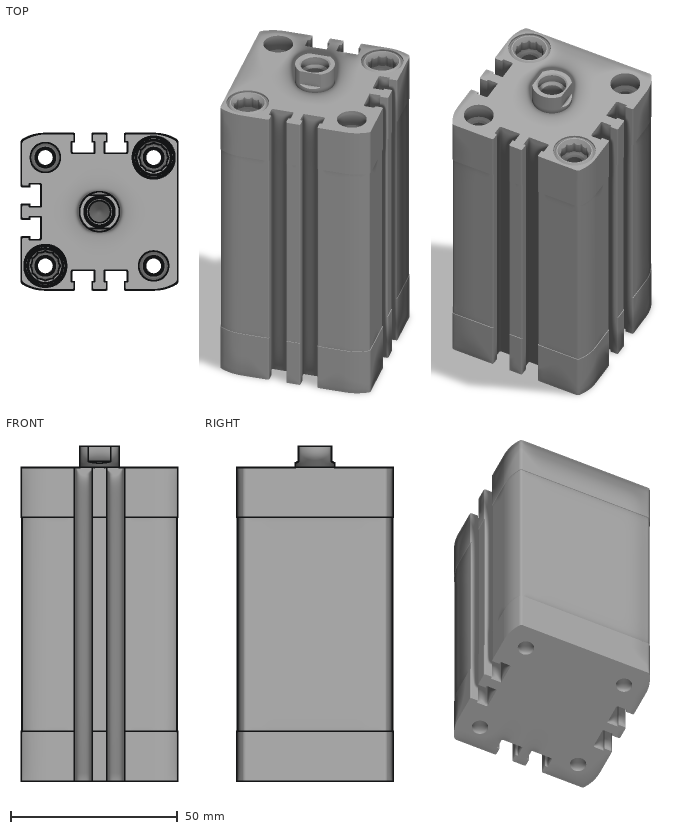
import cadquery as cq
import math

SIDE = 47.0
HALF = SIDE / 2
TOTAL_HEIGHT = 100.6
HOUSING_HEIGHT = 94.2
CAP_HEIGHT = 15.0
BARREL_INSET = 0.2
CORNER_RADIUS = 13.0
CORNER_START = 7.2
EDGE_RADIUS = 1.1

WEB_NECK_HALF = 1.5
WEB_HEAD_HALF = 2.2
SLOT_MOUTH_HALF = 7.5
SLOT_POCKET_HALF = 8.3
SLOT_DEPTH = 5.9
LIP_DEPTH = 2.5
LIP_RADIUS = 0.4
POCKET_RADIUS = 0.5
CUT_CLEARANCE = 1.0

HOLE_PITCH = 32.5
HOLE_DIAMETER = 4.9
HOLE_CHAMFER_DIAMETER = 6.0
COUNTERBORE_DIAMETER = 9.0
COUNTERBORE_DEPTH = 5.0

RING_DIAMETER = 12.8
RING_DEPTH = 0.6
COLLAR_DIAMETER = 11.9
COLLAR_TOP_DIAMETER = 10.8
MOUTH_CONE_DIAMETER = 10.2
MOUTH_HALF_ANGLE = 30.0
SOCKET_DEPTH = 4.5
SOCKET_DIAMETER = 8.3
STAR_DIAMETER = 9.0
STAR_PITCH = 30.0

ROD_DIAMETER = 12.0
ROD_FLATS = 10.0
ROD_FLAT_HEIGHT = 4.6
ROD_LEDGE_DROP = 0.5
ROD_BURIED = 15.1
MOUTH_DIAMETER = 9.3
BORE_DIAMETER = 8.5
BORE_DEPTH = 3.0
THREAD_DIAMETER = 6.6
THREAD_DEPTH = 12.1
THREAD_CHAMFER_DIAMETER = 8.0
DRILL_POINT_ANGLE = 118.0


def disc(diameter, bottom, top):
    """Vertical cylinder between two heights."""
    return cq.Workplane("XY").workplane(offset=bottom).circle(diameter / 2).extrude(top - bottom)


def cone(bottom_diameter, top_diameter, bottom, top):
    """Vertical cone frustum between two heights."""
    return cq.Workplane(
        cq.Solid.makeCone(bottom_diameter / 2, top_diameter / 2, top - bottom, cq.Vector(0, 0, bottom))
    )


def housing_block(half, bottom, top):
    """Square block with large arcs at the corners and small roundings at their ends."""
    inset = HALF - half
    arc_radius = CORNER_RADIUS - inset
    arc_x = HALF - CORNER_START
    centre_y = HALF - CORNER_RADIUS

    def arc_y(x):
        return centre_y + math.sqrt(arc_radius**2 - (x - arc_x) ** 2)

    end_y = arc_y(half)
    mid_x = (arc_x + half) / 2
    mid_y = arc_y(mid_x)
    return (
        cq.Workplane("XY")
        .workplane(offset=bottom)
        .moveTo(-arc_x, half)
        .lineTo(arc_x, half)
        .threePointArc((mid_x, mid_y), (half, end_y))
        .lineTo(half, -end_y)
        .threePointArc((mid_x, -mid_y), (arc_x, -half))
        .lineTo(-arc_x, -half)
        .threePointArc((-mid_x, -mid_y), (-half, -end_y))
        .lineTo(-half, end_y)
        .threePointArc((-mid_x, mid_y), (-arc_x, half))
        .close()
        .extrude(top - bottom)
        .edges("|Z and (<X or >X)")
        .fillet(EDGE_RADIUS - inset)
    )


def slot_pair(half, bottom, top):
    """Cutter for the two slots of the +Y face of a block."""
    floor_y = HALF - SLOT_DEPTH
    lip_y = HALF - LIP_DEPTH
    edge_y = half - LIP_RADIUS
    outside_y = half + CUT_CLEARANCE
    web_x = WEB_HEAD_HALF - LIP_RADIUS
    lip_x = SLOT_MOUTH_HALF + LIP_RADIUS
    slot = (
        cq.Workplane("XY")
        .workplane(offset=bottom)
        .moveTo(WEB_NECK_HALF, floor_y)
        .lineTo(SLOT_POCKET_HALF - POCKET_RADIUS, floor_y)
        .radiusArc((SLOT_POCKET_HALF, floor_y + POCKET_RADIUS), -POCKET_RADIUS)
        .lineTo(SLOT_POCKET_HALF, lip_y)
        .lineTo(SLOT_MOUTH_HALF, lip_y)
        .lineTo(SLOT_MOUTH_HALF, edge_y)
        .radiusArc((lip_x, half), LIP_RADIUS)
        .lineTo(lip_x, outside_y)
        .lineTo(web_x, outside_y)
        .lineTo(web_x, half)
        .radiusArc((WEB_HEAD_HALF, edge_y), LIP_RADIUS)
        .lineTo(WEB_HEAD_HALF, lip_y)
        .lineTo(WEB_NECK_HALF, lip_y)
        .close()
        .extrude(top - bottom)
    )
    return slot.union(slot.mirror("YZ"))


def housing_section(half, bottom, top):
    """One length of the housing, slotted on the +Y, -X and -Y faces."""
    section = housing_block(half, bottom, top)
    slots = slot_pair(half, bottom, top)
    for angle in (0, 90, 180):
        section = section.cut(slots.rotate((0, 0, 0), (0, 0, 1), angle))
    return section


def corner_hole(floor):
    """Through hole, chamfered where it meets the recess floor at the given height."""
    chamfer = (HOLE_CHAMFER_DIAMETER - HOLE_DIAMETER) / 2
    chamfer_cone = cone(HOLE_DIAMETER, HOLE_CHAMFER_DIAMETER, floor - chamfer, floor)
    return disc(HOLE_DIAMETER, 0, HOUSING_HEIGHT).union(chamfer_cone)


def plain_hole():
    """Corner hole with a plain counterbore."""
    floor = HOUSING_HEIGHT - COUNTERBORE_DEPTH
    return corner_hole(floor).union(disc(COUNTERBORE_DIAMETER, floor, HOUSING_HEIGHT))


def socket_hole():
    """Corner hole with a twelve-point socket, whose chamfered collar has a shallow recess round it."""
    floor = HOUSING_HEIGHT - SOCKET_DEPTH
    ring_floor = HOUSING_HEIGHT - RING_DEPTH
    mouth_depth = (MOUTH_CONE_DIAMETER - SOCKET_DIAMETER) / 2 / math.tan(math.radians(MOUTH_HALF_ANGLE))
    mouth_floor = HOUSING_HEIGHT - mouth_depth
    hexagon = cq.Workplane("XY").workplane(offset=floor).polygon(6, STAR_DIAMETER).extrude(SOCKET_DEPTH)
    star = hexagon.union(hexagon.rotate((0, 0, 0), (0, 0, 1), STAR_PITCH))
    teeth_bore = disc(SOCKET_DIAMETER, floor, HOUSING_HEIGHT)
    mouth = cone(SOCKET_DIAMETER, MOUTH_CONE_DIAMETER, mouth_floor, HOUSING_HEIGHT)
    collar = cone(COLLAR_DIAMETER, COLLAR_TOP_DIAMETER, ring_floor, HOUSING_HEIGHT)
    ring = disc(RING_DIAMETER, ring_floor, HOUSING_HEIGHT).cut(collar)
    return corner_hole(floor).union(teeth_bore).union(star).union(mouth).union(ring)


def make_housing():
    barrel_top = HOUSING_HEIGHT - CAP_HEIGHT
    housing = housing_section(HALF, 0, CAP_HEIGHT)
    housing = housing.union(housing_section(HALF - BARREL_INSET, CAP_HEIGHT, barrel_top))
    housing = housing.union(housing_section(HALF, barrel_top, HOUSING_HEIGHT))
    plain = plain_hole()
    socket = socket_hole()
    for side in (-1, 1):
        offset = side * HOLE_PITCH / 2
        housing = housing.cut(plain.translate((offset, -offset, 0)))
        housing = housing.cut(socket.translate((offset, offset, 0)))
    return housing.cut(disc(ROD_DIAMETER, HOUSING_HEIGHT - ROD_BURIED, HOUSING_HEIGHT))


def rod_flat_cutter():
    """Prism that cuts the +Y wrench flat and its sloping ledge."""
    flat_y = ROD_FLATS / 2
    rod_radius = ROD_DIAMETER / 2
    ledge_z = TOTAL_HEIGHT - ROD_FLAT_HEIGHT
    return (
        cq.Workplane("YZ")
        .moveTo(flat_y, TOTAL_HEIGHT)
        .lineTo(flat_y, ledge_z)
        .lineTo(rod_radius, ledge_z - ROD_LEDGE_DROP)
        .lineTo(rod_radius, TOTAL_HEIGHT)
        .close()
        .extrude(rod_radius, both=True)
    )


def rod_bore():
    """Stepped, chamfered bore with a conical drill point."""
    bore_floor = TOTAL_HEIGHT - BORE_DEPTH
    thread_floor = TOTAL_HEIGHT - THREAD_DEPTH
    mouth_chamfer = (MOUTH_DIAMETER - BORE_DIAMETER) / 2
    thread_chamfer = (THREAD_CHAMFER_DIAMETER - THREAD_DIAMETER) / 2
    point = THREAD_DIAMETER / 2 / math.tan(math.radians(DRILL_POINT_ANGLE / 2))
    bore = disc(BORE_DIAMETER, bore_floor, TOTAL_HEIGHT)
    bore = bore.union(cone(BORE_DIAMETER, MOUTH_DIAMETER, TOTAL_HEIGHT - mouth_chamfer, TOTAL_HEIGHT))
    bore = bore.union(disc(THREAD_DIAMETER, thread_floor, bore_floor))
    bore = bore.union(
        cone(THREAD_DIAMETER, THREAD_CHAMFER_DIAMETER, bore_floor - thread_chamfer, bore_floor)
    )
    return bore.union(cone(0, THREAD_DIAMETER, thread_floor - point, thread_floor))


def make_rod():
    rod = disc(ROD_DIAMETER, HOUSING_HEIGHT - ROD_BURIED, TOTAL_HEIGHT)
    flat = rod_flat_cutter()
    return rod.cut(flat).cut(flat.mirror("XZ")).cut(rod_bore())


housing = make_housing()
piston_rod = make_rod()

result = cq.Compound.makeCompound([housing.val(), piston_rod.val()])